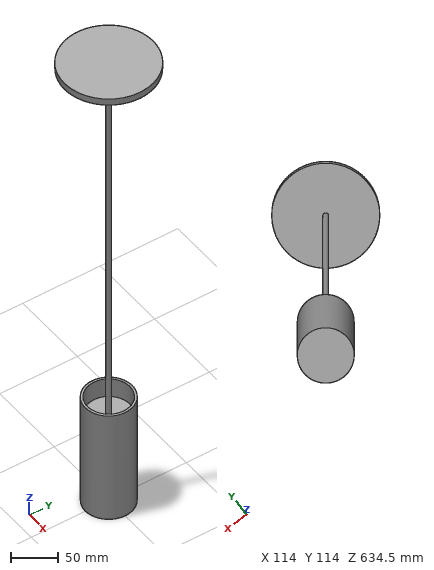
import cadquery as cq

total_height = 634.5

plate_diameter = 114.0
plate_thickness = 9.0
rod_diameter = 6.5

shade_diameter = 60.0
shade_height = 150.0
shade_wall = 3.0
recess_depth = 25.5

recess_floor_z = shade_height - recess_depth
plate_bottom_z = total_height - plate_thickness


def cylinder(diameter, bottom_z, top_z):
    """Upright cylinder on the Z axis between two heights."""
    return (
        cq.Workplane("XY")
        .workplane(offset=bottom_z)
        .circle(diameter / 2)
        .extrude(top_z - bottom_z)
    )


def make_shade():
    """Cylinder with a round recess in its top face."""
    outside = cylinder(shade_diameter, 0, shade_height)
    recess = cylinder(shade_diameter - 2 * shade_wall, recess_floor_z, shade_height)
    return outside.cut(recess)


def make_hanger():
    """Ceiling plate with its rod, which ends on the floor of the shade recess."""
    plate = cylinder(plate_diameter, plate_bottom_z, total_height)
    rod = cylinder(rod_diameter, recess_floor_z, plate_bottom_z)
    return plate.union(rod)


shade = make_shade()
hanger = make_hanger()

result = cq.Compound.makeCompound([shade.val(), hanger.val()])